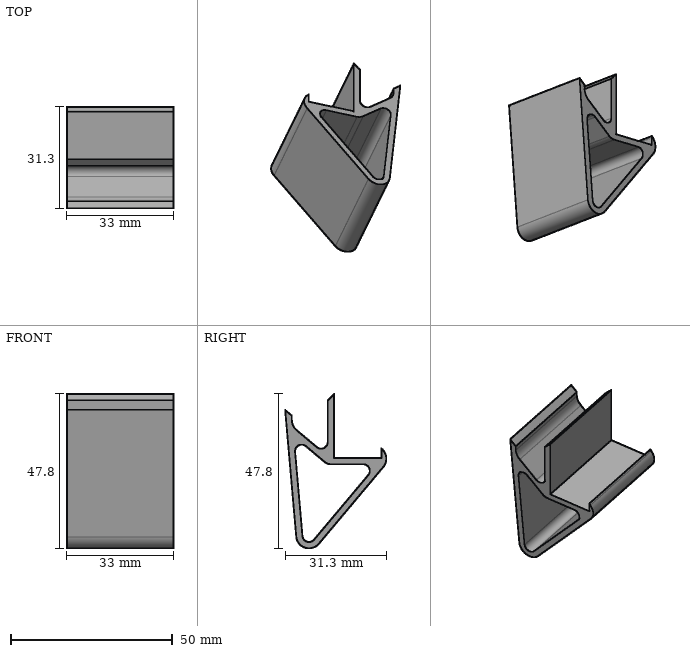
import cadquery as cq
import math

length = 33.0
total_height = 47.75
wall = 2.0
inner_radius = wall
outer_radius = 2 * wall

post_height = 19.75
lip_face_y = 14.65
lip_center_y = 12.15
lip_center_z = -0.25
tip_z = 14.85
tip_land = 2.15
groove_floor_z = 2.85
shoulder_radius = 4.0
bend_radius = 3.0

brace_angle = math.radians(-130)
front_angle = math.radians(95)
incline_angle = math.radians(140)
bevel_angle = math.radians(-45)
shelf_angle = 0.0
upright_angle = math.radians(90)


def offset(point, angle, distance):
    """Move a point to the left of a direction by a distance."""
    return (point[0] - distance * math.sin(angle), point[1] + distance * math.cos(angle))


def meet(point_a, angle_a, point_b, angle_b):
    """Crossing point of two lines, each given by a point and a direction."""
    dy = point_b[0] - point_a[0]
    dz = point_b[1] - point_a[1]
    along = (dy * math.sin(angle_b) - dz * math.cos(angle_b)) / math.sin(angle_b - angle_a)
    return (point_a[0] + along * math.cos(angle_a), point_a[1] + along * math.sin(angle_a))


def round_corner(body, corner, radius):
    """Fillet the X-direction edge nearest a profile corner."""
    nearest = cq.selectors.NearestToPointSelector((length / 2, corner[0], corner[1]))
    return body.edges("|X").edges(nearest).fillet(radius)


lip_center = (lip_center_y, lip_center_z)
bevel_start = offset(lip_center, bevel_angle, outer_radius)
lip_tip = meet(bevel_start, bevel_angle, (lip_face_y, 0.0), upright_angle)
lip_back = (lip_center_y + outer_radius, lip_center_z)
brace_start = offset(lip_center, brace_angle, outer_radius)

bend_center_z = post_height - total_height + outer_radius
bend_center = meet(lip_center, brace_angle, (0.0, bend_center_z), shelf_angle)
front_point = offset(bend_center, front_angle, outer_radius)
bottom_corner = meet(brace_start, brace_angle, front_point, front_angle)

tip = meet(front_point, front_angle, (0.0, tip_z), shelf_angle)
tip_inner_y = tip[0] + tip_land
tip_inner = meet(tip, incline_angle, (tip_inner_y, 0.0), upright_angle)
groove_center = (-wall - inner_radius, groove_floor_z + inner_radius)
incline_point = offset(groove_center, incline_angle, inner_radius)
groove_corner = meet(incline_point, incline_angle, (-wall, 0.0), upright_angle)
shoulder_corner = meet(incline_point, incline_angle, tip_inner, upright_angle)

body = (
    cq.Workplane("YZ")
    .moveTo(*lip_tip)
    .lineTo(lip_face_y, 0)
    .lineTo(0, 0)
    .lineTo(0, post_height)
    .lineTo(-wall, post_height - wall)
    .lineTo(*groove_corner)
    .lineTo(*shoulder_corner)
    .lineTo(*tip_inner)
    .lineTo(*tip)
    .lineTo(*bottom_corner)
    .lineTo(*brace_start)
    .threePointArc(lip_back, bevel_start)
    .close()
    .extrude(length)
)
body = round_corner(body, groove_corner, inner_radius)
body = round_corner(body, shoulder_corner, shoulder_radius)
body = round_corner(body, bottom_corner, outer_radius)

cavity_top = (0.0, -wall)
cavity_brace = offset(brace_start, brace_angle, -wall)
cavity_front = offset(front_point, front_angle, -wall)
cavity_incline = offset(incline_point, incline_angle, wall)
cavity_rear = meet(cavity_top, shelf_angle, cavity_brace, brace_angle)
cavity_bend = meet(cavity_top, shelf_angle, cavity_incline, incline_angle)
cavity_peak = meet(cavity_incline, incline_angle, cavity_front, front_angle)
cavity_bottom = meet(cavity_brace, brace_angle, cavity_front, front_angle)

cavity = (
    cq.Workplane("YZ")
    .polyline([cavity_rear, cavity_bend, cavity_peak, cavity_bottom])
    .close()
    .extrude(length)
)
for cavity_corner in (cavity_rear, cavity_peak, cavity_bottom):
    cavity = round_corner(cavity, cavity_corner, inner_radius)
cavity = round_corner(cavity, cavity_bend, bend_radius)

result = body.cut(cavity)